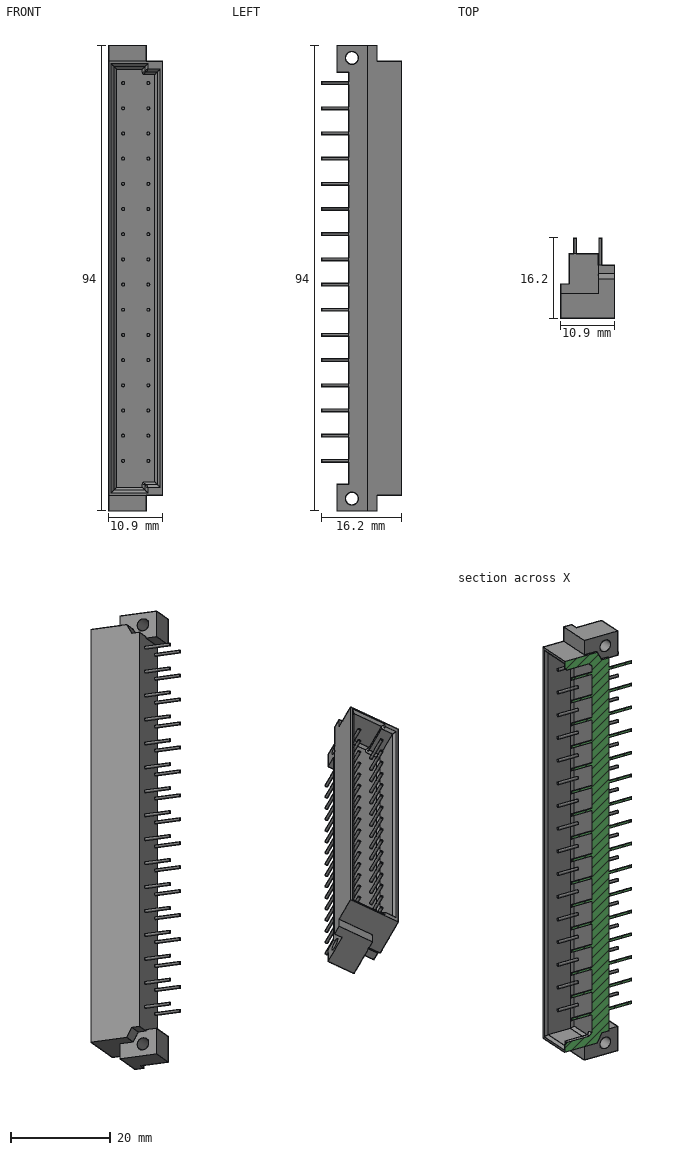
import cadquery as cq

length = 93.95
width = 10.9
depth = 16.2

shroud_inset = 3.2
shroud_half = length / 2 - shroud_inset
step_x = 1.7
step_y = 6.95
block_back = 10.7

relief_start = 7.9
relief_length = 1.1
relief_drop = 2.0

ear_front = 5.0
ear_back = 13.1
ear_right = 7.6
ear_height = 5.45
hole_diameter = 2.5
hole_y = 10.05
hole_inset = 2.5

lip = 0.5
bevel = 0.6
bevel_angle = 45
cavity_depth = 6.5
key_x = 7.9
key_inset = 1.6

pin_diameter = 0.6
pin_columns = 2
pins_per_column = 16
pin_span = 76.2
pin_pitch = pin_span / (pins_per_column - 1)
first_column_x = 2.9
pin_tip_y = 1.7
pin_shift = pin_pitch / 4


def box(x_range, y_range, z_range):
    """Axis-aligned box given by its limits."""
    (x0, x1), (y0, y1), (z0, z1) = x_range, y_range, z_range
    return cq.Workplane("XY").box(x1 - x0, y1 - y0, z1 - z0, centered=False).translate((x0, y0, z0))


def mirrored_outline(upper_half):
    """Closed outline from its upper half plus the mirror image below the zero line."""
    lower_half = [(a, -b) for a, b in reversed(upper_half)]
    return upper_half + lower_half


def make_shroud():
    """Long block with a sloped relief at both ends, cut back along its left rear edge."""
    side = mirrored_outline([
        (0, shroud_half),
        (relief_start, shroud_half),
        (relief_start + relief_length, shroud_half - relief_drop),
        (block_back, shroud_half - relief_drop),
    ])
    block = cq.Workplane("YZ").polyline(side).close().extrude(width)
    rear_step = box((0, step_x), (step_y, block_back), (-shroud_half, shroud_half))
    return block.cut(rear_step)


def make_upper_ear():
    """Stepped mounting ear at the upper end with a cross hole."""
    z_range = (length / 2 - ear_height, length / 2)
    ear = box((0, ear_right), (ear_front, step_y), z_range)
    ear = ear.union(box((step_x, ear_right), (step_y, ear_back), z_range))
    hole = (
        cq.Workplane("YZ")
        .center(hole_y, length / 2 - hole_inset)
        .circle(hole_diameter / 2)
        .extrude(width)
    )
    return ear.cut(hole)


def make_cavity():
    """Keyed cavity with bevels at its mouth and around its floor."""
    top = shroud_half - lip
    key_z = shroud_half - key_inset
    mouth = mirrored_outline([
        (lip, top),
        (key_x, top),
        (key_x, key_z),
        (width - lip, key_z),
    ])

    def layer(inset, start, thickness, taper):
        outline = cq.Workplane("XZ", origin=(0, start, 0)).polyline(mouth).close()
        if inset:
            outline = outline.offset2D(-inset, "intersection")
        return outline.extrude(-thickness, taper=taper)

    mouth_bevel = layer(0, 0, bevel, bevel_angle)
    walls = layer(bevel, bevel, cavity_depth - 2 * bevel, 0)
    floor_bevel = layer(bevel, cavity_depth - bevel, bevel, bevel_angle)
    return mouth_bevel.union(walls).union(floor_bevel)


def make_pins():
    """Two columns of straight round pins running front to back."""
    middle = (pins_per_column - 1) / 2
    places = [
        (first_column_x + column * pin_pitch, pin_shift + (row - middle) * pin_pitch)
        for column in range(pin_columns)
        for row in range(pins_per_column)
    ]
    return (
        cq.Workplane("XZ", origin=(0, pin_tip_y, 0))
        .pushPoints(places)
        .circle(pin_diameter / 2)
        .extrude(-(depth - pin_tip_y))
    )


upper_ear = make_upper_ear()
lower_ear = upper_ear.mirror("XY")
housing = make_shroud().union(upper_ear).union(lower_ear).cut(make_cavity())
result = housing.union(make_pins())